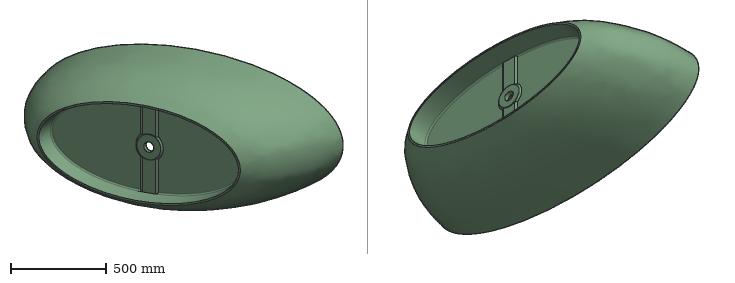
import cadquery as cq

LENGTH = 1800.0
HEIGHT = 600.0
WIDTH = 800.0

FOOT_HALF_LENGTH = 597.0
FOOT_HALF_WIDTH = 273.0
BODY_SECTIONS = [
    (0.0, LENGTH / 2, WIDTH / 2),
    (135.0, 880.0, 392.0),
    (297.0, 825.0, 378.0),
    (453.0, 740.0, 344.0),
    (540.0, 670.0, 308.0),
    (HEIGHT, FOOT_HALF_LENGTH, FOOT_HALF_WIDTH),
]

WALL = 27.0
FLOOR_THICKNESS = 18.0
FOOT_RIM = 10.0
RECESS_DEPTH = 126.0
RECESS_TAPER = 7.0
RECESS_FILLET = 9.0
FLOOR_DROP = HEIGHT - RECESS_DEPTH
BASIN_DEPTH = FLOOR_DROP - FLOOR_THICKNESS

RIB_BASE_WIDTH = 105.0
RIB_TOP_WIDTH = 77.0
RIB_HEIGHT = 7.0
BOSS_BASE_RADIUS = 81.0
BOSS_TOP_RADIUS = 70.0
BOSS_HEIGHT = 9.0
DRAIN_RADIUS = 29.0

RIM_Y = HEIGHT / 2
FLOOR_Y = RIM_Y - FLOOR_DROP


def oval_loft(sections):
    """Smooth solid through ellipses stacked from the rim plane towards -Y."""
    body = cq.Workplane("XZ", origin=(0, RIM_Y, 0))
    previous_drop = 0.0
    for drop, half_length, half_width in sections:
        body = body.workplane(offset=drop - previous_drop).ellipse(half_length, half_width)
        previous_drop = drop
    return body.loft(combine=True)


def make_basin(body):
    """Bathing space: the outer form shrunk by the wall and cut off level at the floor."""
    inner = [(drop, length - WALL, width - WALL) for drop, length, width in BODY_SECTIONS]
    space = oval_loft(inner)
    above_floor = cq.Workplane("XY").box(LENGTH, BASIN_DEPTH, WIDTH).translate(
        (0, RIM_Y - BASIN_DEPTH / 2, 0)
    )
    return body.cut(space.intersect(above_floor))


def make_recess():
    """Tapered oval hollow inside the foot, rounded where it meets the floor."""
    mouth_length = FOOT_HALF_LENGTH - FOOT_RIM
    mouth_width = FOOT_HALF_WIDTH - FOOT_RIM
    hollow = oval_loft([
        (FLOOR_DROP, mouth_length - RECESS_TAPER, mouth_width - RECESS_TAPER),
        (HEIGHT, mouth_length, mouth_width),
    ])
    return hollow.faces(">Y").edges().fillet(RECESS_FILLET)


def make_reinforcement(recess):
    """Cross rib and drain boss, both with sloping sides and trimmed to the recess."""
    rib = (
        cq.Workplane("XY", origin=(0, 0, -WIDTH / 2))
        .polyline([
            (-RIB_BASE_WIDTH / 2, FLOOR_Y),
            (-RIB_TOP_WIDTH / 2, FLOOR_Y - RIB_HEIGHT),
            (RIB_TOP_WIDTH / 2, FLOOR_Y - RIB_HEIGHT),
            (RIB_BASE_WIDTH / 2, FLOOR_Y),
        ])
        .close()
        .extrude(WIDTH)
    )
    boss = (
        cq.Workplane("XZ", origin=(0, FLOOR_Y, 0))
        .circle(BOSS_BASE_RADIUS)
        .workplane(offset=BOSS_HEIGHT)
        .circle(BOSS_TOP_RADIUS)
        .loft(combine=True)
    )
    return rib.union(boss).intersect(recess)


tub = make_basin(oval_loft(BODY_SECTIONS))
recess = make_recess()
tub = tub.cut(recess.cut(make_reinforcement(recess)))

drain = cq.Workplane("XZ", origin=(0, RIM_Y, 0)).circle(DRAIN_RADIUS).extrude(HEIGHT)
result = tub.cut(drain)